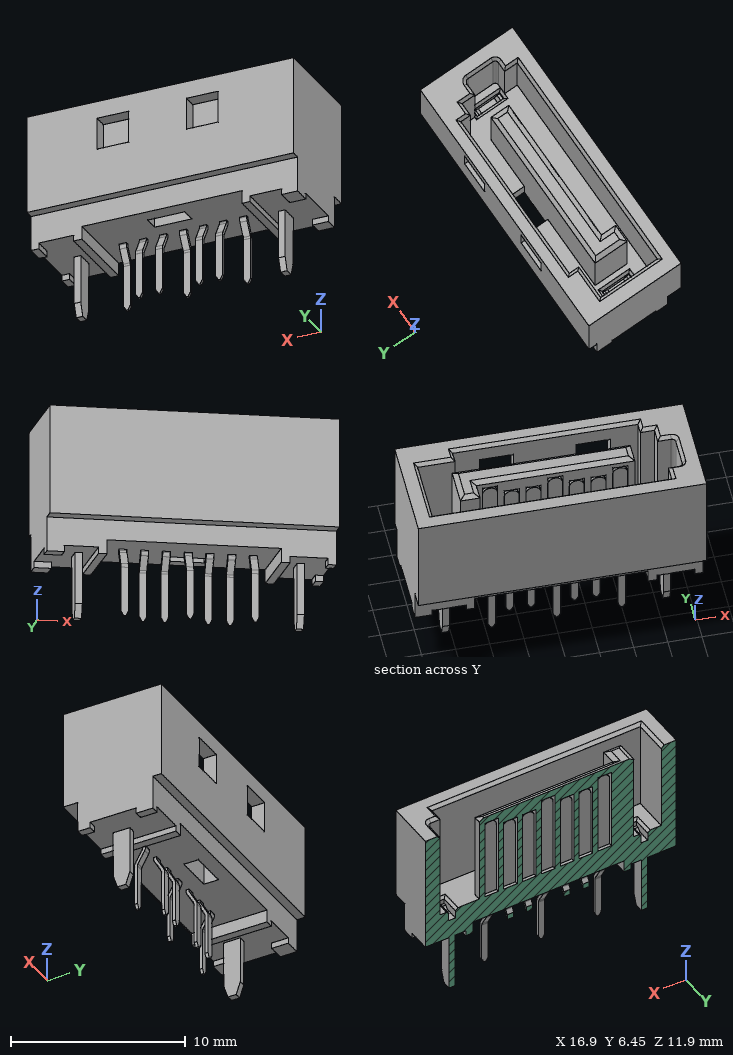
import math

import cadquery as cq


LENGTH = 16.9
WIDTH = 6.45
HEIGHT = 8.4
TOTAL_HEIGHT = 11.85
BASE_FRONT_Y = -2.27
BASE_BACK_Y = 2.67
BASE_FRONT_HEIGHT = 2.0
BASE_BACK_HEIGHT = 2.2

CENTRE_X = 0.17
CENTRE_Y = -0.28

PEG_RECESS_HEIGHT = 0.37
PIN_RECESS_HEIGHT = 0.82
PEG_RECESSES_X = ((-7.43, -5.43), (5.74, 7.95))
PIN_RECESS_X = (-4.93, 5.22)
END_NOTCH_Y = (-1.44, 1.58)

FLOOR_Z = 2.4
CAVITY_LEFT_X = -7.43
CAVITY_RIGHT_X = 6.44
CAVITY_FRONT_RIGHT_X = 6.6
CAVITY_FRONT_Y = -2.26
CAVITY_SHOULDER_Y = 1.7
CAVITY_BACK_Y = 2.36
CAVITY_BACK_X = (-5.24, 5.61)
KEY_SLOT_X = 7.45
KEY_SLOT_Y = (-1.38, 0.81)
KEY_SLOT_RADIUS = 0.22
CAVITY_CHAMFER = 0.2

WINDOW_SIZE = 2.0
WINDOW_TOP_Z = 7.3
WINDOW_SPACING = 5.66
FLOOR_HOLE_X = (-0.86, 1.49)
FLOOR_HOLE_BACK_Y = 1.76

TONGUE_X = (-5.6, 4.83)
TONGUE_Y = (-0.44, 0.81)
LEG_INNER_X = -4.45
LEG_FRONT_Y = -1.43
TONGUE_BEVEL = 0.31
TONGUE_BACK_BEVEL = 0.26
TONGUE_BEVEL_HEIGHT = 0.18

CONTACT_COUNT = 7
LONG_CONTACTS = (0, 3, 6)
PITCH = 1.27
SHEET = 0.2
CONTACT_RECESS = 0.06
POCKET_WIDTH = 0.88
POCKET_DEPTH = 0.5
LONG_POCKET_TOP_Z = 7.9
SHORT_POCKET_TOP_Z = 7.4
CONTACT_TIP_RADIUS = 0.43
CONTACT_TIP_GAP = 0.14
PIN_WIDTH = 0.45
PIN_BOTTOM_Z = -3.25
PIN_TIP_WIDTH = 0.15
PIN_TIP_LENGTH = 0.27
PIN_ROOT_Z = 1.2
JOG_TOP_Z = 0.65
JOG_BOTTOM_Z = -0.29
BEND_RADIUS = 0.27
ROW_OFFSET = 0.535

PEG_SPACING = 12.95
PEG_THICKNESS = 0.43
PEG_WIDTH = 1.1
PEG_BOTTOM_Z = HEIGHT - TOTAL_HEIGHT
PEG_TIP_WIDTH = 0.56
PEG_TIP_LENGTH = 0.8
PEG_HEAD_WIDTH = 1.85
PEG_HEAD_TOP_Z = 1.9
PEG_SHOULDER_Z = 1.0
PEG_NOTCH_TOP_WIDTH = 1.51
PEG_NOTCH_DEPTH = 0.2
PEG_FUNNEL = 0.17

OVERLAP = 0.1


def box(x_range, y_range, z_range):
    """Axis-aligned block between pairs of limits."""
    size = [limits[1] - limits[0] for limits in (x_range, y_range, z_range)]
    corner = (x_range[0], y_range[0], z_range[0])
    return cq.Workplane("XY").box(*size, centered=False).translate(corner)


def make_housing():
    upper = box(
        (-LENGTH / 2, LENGTH / 2), (-WIDTH / 2, WIDTH / 2), (BASE_BACK_HEIGHT, HEIGHT)
    )
    front_ledge = box(
        (-LENGTH / 2, LENGTH / 2), (-WIDTH / 2, 0), (BASE_FRONT_HEIGHT, BASE_BACK_HEIGHT)
    )
    base = box((-LENGTH / 2, LENGTH / 2), (BASE_FRONT_Y, BASE_BACK_Y), (0, BASE_BACK_HEIGHT))
    return upper.union(front_ledge).union(base)


def cut_underside(housing):
    """Leave narrow feet around the pegs and a taller recess over the pins."""
    full_width = (-WIDTH / 2, WIDTH / 2)
    for x_range in PEG_RECESSES_X:
        housing = housing.cut(box(x_range, full_width, (0, PEG_RECESS_HEIGHT)))
    housing = housing.cut(box(PIN_RECESS_X, full_width, (0, PIN_RECESS_HEIGHT)))
    end_feet_x = (
        (-LENGTH / 2, PEG_RECESSES_X[0][0]),
        (PEG_RECESSES_X[1][1], LENGTH / 2),
    )
    for x_range in end_feet_x:
        housing = housing.cut(box(x_range, END_NOTCH_Y, (0, PEG_RECESS_HEIGHT)))
    return housing


def cut_cavity(housing):
    outline = [
        (CAVITY_LEFT_X, CAVITY_FRONT_Y),
        (CAVITY_FRONT_RIGHT_X, CAVITY_FRONT_Y),
        (CAVITY_FRONT_RIGHT_X, CENTRE_Y),
        (CAVITY_RIGHT_X, CENTRE_Y),
        (CAVITY_RIGHT_X, CAVITY_SHOULDER_Y),
        (CAVITY_BACK_X[1], CAVITY_SHOULDER_Y),
        (CAVITY_BACK_X[1], CAVITY_BACK_Y),
        (CAVITY_BACK_X[0], CAVITY_BACK_Y),
        (CAVITY_BACK_X[0], CAVITY_SHOULDER_Y),
        (CAVITY_LEFT_X, CAVITY_SHOULDER_Y),
    ]
    depth = HEIGHT - FLOOR_Z
    cavity = cq.Workplane("XY", origin=(0, 0, FLOOR_Z)).polyline(outline).close().extrude(depth)
    key_slot = box((0, KEY_SLOT_X), KEY_SLOT_Y, (FLOOR_Z, HEIGHT))
    key_slot = key_slot.edges("|Z and >X").fillet(KEY_SLOT_RADIUS)
    housing = housing.cut(cavity.union(key_slot))
    rim = housing.faces(">Z").val().innerWires()[0]
    return housing.newObject(rim.Edges()).chamfer(CAVITY_CHAMFER)


def cut_openings(housing):
    """Two windows through the back wall and one hole through the floor."""
    for side in (-1, 1):
        left = CENTRE_X + side * WINDOW_SPACING / 2 - WINDOW_SIZE / 2
        window = box(
            (left, left + WINDOW_SIZE),
            (CAVITY_SHOULDER_Y, WIDTH / 2),
            (WINDOW_TOP_Z - WINDOW_SIZE, WINDOW_TOP_Z),
        )
        housing = housing.cut(window)
    hole = box(FLOOR_HOLE_X, (TONGUE_Y[1], FLOOR_HOLE_BACK_Y), (PIN_RECESS_HEIGHT, FLOOR_Z))
    return housing.cut(hole)


def tongue_outline(workplane, bevel, back_bevel):
    left = TONGUE_X[0] + bevel
    right = TONGUE_X[1] - bevel
    front = TONGUE_Y[0] + bevel
    back = TONGUE_Y[1] - back_bevel
    leg_right = LEG_INNER_X - bevel
    leg_front = LEG_FRONT_Y + bevel
    return workplane.polyline([
        (left, back),
        (left, leg_front),
        (leg_right, leg_front),
        (leg_right, front),
        (right, front),
        (right, back),
    ]).close()


def make_tongue():
    root_z = FLOOR_Z - OVERLAP
    shoulder_z = HEIGHT - TONGUE_BEVEL_HEIGHT
    root = cq.Workplane("XY", origin=(0, 0, root_z))
    stem = tongue_outline(root, 0, 0).extrude(shoulder_z - root_z)
    shoulder = cq.Workplane("XY", origin=(0, 0, shoulder_z))
    bevel_top = tongue_outline(shoulder, 0, 0).workplane(offset=TONGUE_BEVEL_HEIGHT)
    bevelled = tongue_outline(bevel_top, TONGUE_BEVEL, TONGUE_BACK_BEVEL).loft(ruled=True)
    return stem.union(bevelled)


def make_pocket(x, top_z):
    """Groove in the front face of the tongue."""
    return box(
        (x - POCKET_WIDTH / 2, x + POCKET_WIDTH / 2),
        (TONGUE_Y[0], TONGUE_Y[0] + POCKET_DEPTH),
        (FLOOR_Z, top_z),
    )


def make_contact_blade(x, pocket_top_z):
    """Round-topped contact strip lying in its groove."""
    front_y = TONGUE_Y[0] + CONTACT_RECESS
    blade = box(
        (x - POCKET_WIDTH / 2, x + POCKET_WIDTH / 2),
        (front_y, front_y + SHEET),
        (FLOOR_Z - OVERLAP, pocket_top_z - CONTACT_TIP_GAP),
    )
    return blade.edges("|Y and >Z").fillet(CONTACT_TIP_RADIUS)


def make_pin(x, row_side):
    """Strip that leaves the housing, jogs toward its row and ends in a tapered tip."""
    row_y = CENTRE_Y + row_side * ROW_OFFSET
    slope = math.atan2(row_side * ROW_OFFSET, JOG_TOP_Z - JOG_BOTTOM_Z)
    mitre = SHEET / 2 * math.tan(slope / 2)

    def face_points(side):
        """Side profile of the front (-1) or back (+1) face, from root to tip."""
        shift = side * SHEET / 2
        return [
            (CENTRE_Y + shift, PIN_ROOT_Z),
            (CENTRE_Y + shift, JOG_TOP_Z + side * mitre),
            (row_y + shift, JOG_BOTTOM_Z + side * mitre),
            (row_y + shift, PIN_BOTTOM_Z),
        ]

    front = face_points(-1)
    back = face_points(1)
    pin = cq.Workplane("YZ").polyline(front + back[::-1]).close().extrude(PIN_WIDTH / 2, both=True)
    for points, side in ((front, -1), (back, 1)):
        for (y, z), bend in zip(points[1:3], (1, -1)):
            is_inner = side * row_side * bend > 0
            radius = BEND_RADIUS if is_inner else BEND_RADIUS + SHEET
            pin = pin.edges(cq.NearestToPointSelector((0, y, z))).fillet(radius)
    taper = (PIN_WIDTH - PIN_TIP_WIDTH) / 2
    for side in (-1, 1):
        edge_x = side * PIN_WIDTH / 2
        corner = [
            (edge_x, PIN_BOTTOM_Z + PIN_TIP_LENGTH),
            (edge_x, PIN_BOTTOM_Z),
            (edge_x - side * taper, PIN_BOTTOM_Z),
        ]
        pin = pin.cut(cq.Workplane("XZ").polyline(corner).close().extrude(WIDTH, both=True))
    return pin.translate((x, 0, 0))


def add_contacts(body):
    for index in range(CONTACT_COUNT):
        x = CENTRE_X + (index - (CONTACT_COUNT - 1) / 2) * PITCH
        is_long = index in LONG_CONTACTS
        top_z = LONG_POCKET_TOP_Z if is_long else SHORT_POCKET_TOP_Z
        body = body.cut(make_pocket(x, top_z))
        body = body.union(make_contact_blade(x, top_z))
        body = body.union(make_pin(x, -1 if is_long else 1))
    return body


def cut_peg_funnel(body, x):
    """Bevelled slot in the cavity floor with room for the peg head and its notch."""
    bottom_z = PEG_HEAD_TOP_Z - PEG_NOTCH_DEPTH
    funnel = (
        cq.Workplane("XY", origin=(x, CENTRE_Y, FLOOR_Z - PEG_FUNNEL))
        .rect(PEG_THICKNESS, PEG_HEAD_WIDTH)
        .workplane(offset=PEG_FUNNEL)
        .rect(PEG_THICKNESS + 2 * PEG_FUNNEL, PEG_HEAD_WIDTH + 2 * PEG_FUNNEL)
        .loft(ruled=True)
    )
    slot = (
        cq.Workplane("XY", origin=(x, CENTRE_Y, bottom_z))
        .rect(PEG_THICKNESS, PEG_HEAD_WIDTH)
        .extrude(FLOOR_Z - bottom_z)
    )
    return body.cut(slot).cut(funnel)


def make_peg(x):
    """Flat peg: wide notched head in the housing, straight shank and tapered tip."""
    half_profile = [
        (PEG_WIDTH / 2, PEG_HEAD_TOP_Z - PEG_NOTCH_DEPTH),
        (PEG_NOTCH_TOP_WIDTH / 2, PEG_HEAD_TOP_Z),
        (PEG_HEAD_WIDTH / 2, PEG_HEAD_TOP_Z),
        (PEG_HEAD_WIDTH / 2, PEG_SHOULDER_Z),
        (PEG_WIDTH / 2, PEG_SHOULDER_Z),
        (PEG_WIDTH / 2, PEG_BOTTOM_Z + PEG_TIP_LENGTH),
        (PEG_TIP_WIDTH / 2, PEG_BOTTOM_Z),
    ]
    mirrored = [(-y, z) for y, z in reversed(half_profile)]
    return (
        cq.Workplane("YZ", origin=(x, CENTRE_Y, 0))
        .polyline(half_profile + mirrored)
        .close()
        .extrude(PEG_THICKNESS / 2, both=True)
    )


def add_pegs(body):
    for side in (-1, 1):
        x = CENTRE_X + side * PEG_SPACING / 2
        body = cut_peg_funnel(body, x).union(make_peg(x))
    return body


housing = cut_openings(cut_cavity(cut_underside(make_housing())))
result = add_pegs(add_contacts(housing.union(make_tongue())))